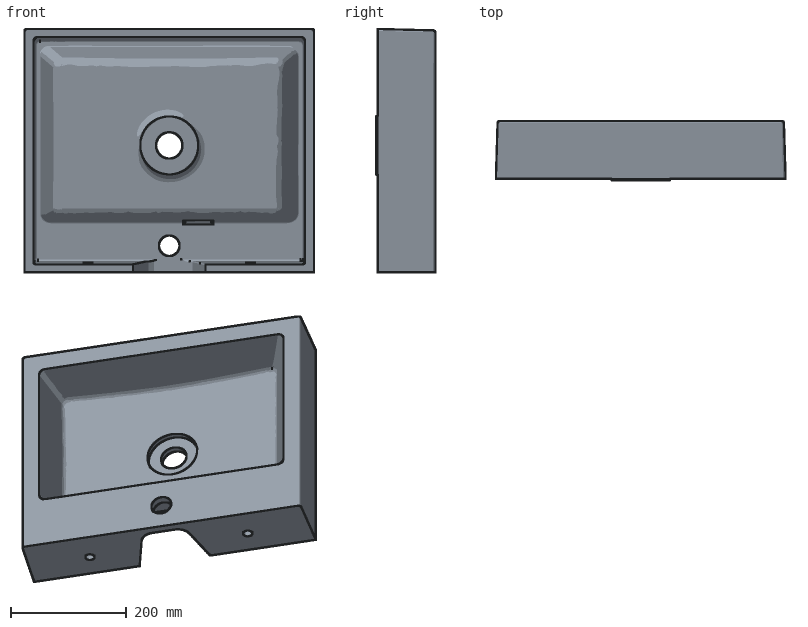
import cadquery as cq

width = 500.0
height = 420.0
depth = 100.0
side_draft = 3.0
upper_draft = 2.5
outer_radius = 5.0

skirt_side = 16.0
skirt_upper = 14.0
skirt_lower = 14.0
deck_thickness = 15.0
pocket_side_draft = 3.5
pocket_upper_draft = 6.0
pocket_lower_draft = 5.5
pocket_corner_radius = 7.5
pocket_lower_radius = 4.0
deck_fillet = 3.5
deck_y = depth - deck_thickness

bowl_half_width = 222.5
bowl_low = 87.0
bowl_high = 389.0
bowl_side_taper = 35.0
bowl_upper_taper = 30.0
bowl_lower_taper = 10.0
bowl_edge_radius = 17.5
bowl_foot_fillet = 3.0
bowl_wall = 12.0

drain_z = 219.0
drain_radius = 22.5
boss_face_radius = 50.0
boss_base_radius = 64.0
flare_hollow = 0.34
boss_projection = 3.0
floor_apex_y = 4.5
floor_slope = 0.07
floor_reach = 300.0

tap_z = 46.0
tap_radius = 17.5
overflow_x = 50.0
overflow_width = 53.0
overflow_low = 82.5
overflow_height = 20.0
overflow_projection = 20.0
overflow_radius = 5.0
notch_rim_half_width = 62.5
notch_deck_half_width = 37.5
notch_corner_radius = 23.0
notch_edge_radius = 2.0
fixing_x = 140.0
fixing_y = 45.0
fixing_diameter = 16.0


def rectangle_at(y, half_width, low, high):
    """Closed rectangle in the plane at the given Y."""
    corners = [
        cq.Vector(-half_width, y, low),
        cq.Vector(half_width, y, low),
        cq.Vector(half_width, y, high),
        cq.Vector(-half_width, y, high),
    ]
    return cq.Wire.makePolygon(corners, close=True)


def tapered_block(first, second):
    """Straight-sided block between two rectangles (y, half_width, low, high)."""
    wires = [rectangle_at(*first), rectangle_at(*second)]
    return cq.Workplane(obj=cq.Solid.makeLoft(wires, True))


def revolve_about_drain(profile):
    """Turn a closed (radius, Y) profile about the drain axis."""
    return profile.revolve(360, (0, 0, 0), (0, 1, 0)).translate((0, 0, drain_z))


def disc(z, radius, y_start, y_end):
    """Cylinder along Y centred on X = 0."""
    plane = cq.Workplane("XZ", origin=(0, y_start, z))
    return plane.circle(radius).extrude(y_start - y_end)


def floor_y(radius):
    return floor_apex_y + floor_slope * radius


def make_body():
    body = tapered_block(
        (0, width / 2, 0, height),
        (depth, width / 2 - side_draft, 0, height - upper_draft),
    )
    upper_corners = body.faces(">Z").edges("<X or >X")
    rounded = upper_corners.add(body.faces(">Y").edges("not <Z"))
    return rounded.fillet(outer_radius)


def make_pocket():
    half_width = width / 2 - skirt_side
    high = height - skirt_upper
    pocket = tapered_block(
        (0, half_width, skirt_lower, high),
        (
            deck_y,
            half_width - pocket_side_draft,
            skirt_lower + pocket_lower_draft,
            high - pocket_upper_draft,
        ),
    )
    upper_corners = pocket.faces(">Z").edges("<X or >X")
    pocket = upper_corners.fillet(pocket_corner_radius)
    pocket = pocket.faces("<Z").edges("<X or >X").fillet(pocket_lower_radius)
    return pocket.faces(">Y").edges().fillet(deck_fillet)


def make_bowl(inset, edge_radius):
    """Bowl solid, shrunk by inset on its sides and floor, reaching the top face."""

    def section(y):
        taper = (deck_y - y) / deck_y
        return (
            y,
            bowl_half_width - inset - bowl_side_taper * taper,
            bowl_low + inset + bowl_lower_taper * taper,
            bowl_high - inset - bowl_upper_taper * taper,
        )

    walls = tapered_block(section(0), section(depth))
    profile = (
        cq.Workplane("XY")
        .moveTo(0, floor_y(0) + inset)
        .lineTo(floor_reach, floor_y(floor_reach) + inset)
        .lineTo(floor_reach, depth)
        .lineTo(0, depth)
        .close()
    )
    bowl = walls.intersect(revolve_about_drain(profile))
    return bowl.edges("not >Y").fillet(edge_radius)


def make_boss():
    """Drain boss with a hollow flare blending into the bowl floor."""
    base_y = floor_y(boss_base_radius)
    flare_mid = (
        boss_face_radius + flare_hollow * (boss_base_radius - boss_face_radius),
        base_y - flare_hollow * (base_y + boss_projection),
    )
    profile = (
        cq.Workplane("XY")
        .moveTo(0, -boss_projection)
        .lineTo(boss_face_radius, -boss_projection)
        .threePointArc(flare_mid, (boss_base_radius, base_y))
        .lineTo(boss_base_radius, base_y + bowl_wall / 2)
        .lineTo(0, base_y + bowl_wall / 2)
        .close()
    )
    return revolve_about_drain(profile)


def make_drain_recess():
    """Sump inside the boss, leaving one wall thickness behind its face."""
    bottom = bowl_wall - boss_projection
    top = floor_y(boss_base_radius) + bowl_wall
    return disc(drain_z, boss_face_radius - bowl_wall / 2, bottom, top)


def make_overflow_pad():
    """Blister under the lower bowl wall, rounded on its exposed edges."""
    pad = cq.Workplane("XY").box(
        overflow_width, overflow_projection, overflow_height, centered=(True, False, False)
    )
    pad = pad.faces("<Y").edges().fillet(overflow_radius)
    return pad.translate((overflow_x, deck_y - overflow_projection, overflow_low))


def make_notch():
    outline = [
        (-notch_rim_half_width, 0),
        (-notch_deck_half_width, deck_y),
        (notch_deck_half_width, deck_y),
        (notch_rim_half_width, 0),
    ]
    notch_height = skirt_lower + pocket_lower_draft + deck_fillet
    notch = cq.Workplane("XY").polyline(outline).close().extrude(notch_height)
    return notch.faces(">Y").edges("|Z").fillet(notch_corner_radius)


def make_fixing_holes():
    holes = cq.Workplane("XY").pushPoints([(-fixing_x, fixing_y), (fixing_x, fixing_y)])
    return holes.circle(fixing_diameter / 2).extrude(skirt_lower + pocket_lower_draft)


def soften_notch_edge(skirt):
    """Round the inner edge of the lower skirt along the +X side of the notch."""
    middle_x = (notch_rim_half_width + notch_deck_half_width) / 2
    edge_middle = (middle_x, deck_y / 2, skirt_lower + pocket_lower_draft / 2)
    return skirt.edges(cq.selectors.NearestToPointSelector(edge_middle)).fillet(notch_edge_radius)


def blend_bowl_foot(shell):
    """Fillet the bowl into the deck all the way round its foot."""
    margin = bowl_foot_fillet / 3
    bowl_box = cq.selectors.BoxSelector(
        (-bowl_half_width - margin, deck_y - margin, bowl_low - margin),
        (bowl_half_width + margin, deck_y + margin, bowl_high + margin),
        boundingbox=True,
    )
    return shell.edges(bowl_box).fillet(bowl_foot_fillet)


shell = make_body().cut(make_pocket())
shell = shell.cut(make_notch()).cut(make_fixing_holes())
shell = soften_notch_edge(shell)
shell = blend_bowl_foot(shell.union(make_bowl(0, bowl_edge_radius)))
shell = shell.union(make_boss()).union(make_overflow_pad())
shell = shell.cut(make_bowl(bowl_wall, bowl_edge_radius - bowl_wall / 2))
shell = shell.cut(make_drain_recess())
shell = shell.cut(disc(drain_z, drain_radius, -boss_projection, depth))
shell = shell.cut(disc(tap_z, tap_radius, 0, depth))
result = shell.solids()